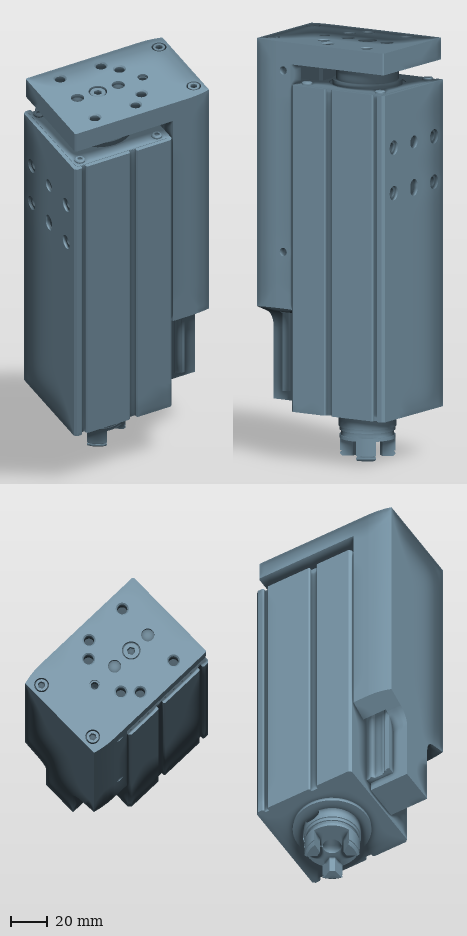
import cadquery as cq
import math


HOUSING_HALF = 30.0
HOUSING_HEIGHT = 180.0
CORNER_CHAMFER = 1.4
CAP_HALF = 27.7
CAP_RISE = 0.2
GROOVE_DEPTH = 2.0
WIDE_GROOVE_Y, WIDE_GROOVE_WIDTH = 6.0, 4.0
NARROW_GROOVE_Y, NARROW_GROOVE_WIDTH = -24.0, 2.3
GROOVE_LIP = 0.7
COLLAR_DIAMETER, COLLAR_HEIGHT = 37.8, 2.0
COLLAR_RECESS_DIAMETER, COLLAR_RECESS_DEPTH = 41.5, 0.7
CAP_SCREW_OFFSET = 23.6
CAP_SCREW_DIAMETER, CAP_SCREW_HEIGHT, CAP_SCREW_CHAMFER = 5.7, 1.4, 0.5
CAP_SOCKET_WIDTH, CAP_SOCKET_DEPTH = 3.2, 1.1
MOTOR_FLANGE_DIAMETER, MOTOR_FLANGE_HEIGHT = 42.6, 2.0

HOLE_HALF_X = 20.0
HOLE_PITCH = 25.0
DOWEL_DIAMETER, DOWEL_DEPTH = 7.0, 2.3
DOWEL_SLOT_LENGTH = 9.2
FRONT_UPPER_Z = HOUSING_HEIGHT - 30.0
FRONT_SEAT_DIAMETER, FRONT_SEAT_DEPTH = 8.0, 1.5
FRONT_THREAD_DIAMETER, FRONT_THREAD_DEPTH = 5.0, 10.0

ROD_DIAMETER, ROD_CHAMFER = 34.0, 0.7
ROD_INSERTION = 11.5
ROD_NECK_DIAMETER, ROD_NECK_RECESS = 8.5, 0.7
ROD_SOCKET_WIDTH, ROD_SOCKET_DEPTH = 4.5, 3.0

PLATE_GAP = 11.0
PLATE_THICKNESS = 12.0
PLATE_BOTTOM = HOUSING_HEIGHT + PLATE_GAP
PLATE_TOP = PLATE_BOTTOM + PLATE_THICKNESS
PLATE_HALF_WIDTH = 28.7
PLATE_FRONT_Y = -29.1
PLATE_FRONT_CHAMFER = 0.7
TAPPED_MOUTH, TAPPED_DIAMETER, TAPPED_DEPTH = 7.0, 5.5, 8.0
INNER_TAPPED_X, INNER_TAPPED_Y = 12.5, 20.0
PLATE_SCREW_Y = 48.2
PLATE_SCREW_SEAT, PLATE_SCREW_HEAD, PLATE_SCREW_DEPTH = 8.0, 6.5, 3.5
PLATE_SCREW_SOCKET = 4.1
CENTRE_SEAT_DIAMETER, CENTRE_SEAT_DEPTH = 10.0, 2.3
STOP_SCREW_Y = 27.5
STOP_SCREW_DIAMETER = 4.0
STOP_SEAT_DIAMETER, STOP_SEAT_DEPTH = 5.7, 1.5
STOP_BORE_DIAMETER, STOP_BORE_DEPTH = 4.1, 6.0

BACK_Y = 54.0
SLIDE_FRONT_Y = 31.0
SIDE_ARC_Y = 40.5
BACK_HALF_WIDTH = 26.8
SLIDE_EDGE_Z = 56.0
SLOPE_DROP, SLOPE_RUN = 1.8, 4.5
TONGUE_HALF_WIDTH = 10.5
TONGUE_FILLET = 10.3
TONGUE_BOTTOM = 1.8
FOOT_HEIGHT = 5.7
CHANNEL_HALF_WIDTH = 18.3
CHANNEL_BACK_Y = 45.2
SIDE_HOLE_DIAMETER, SIDE_HOLE_DEPTH = 4.5, 4.5
SIDE_HOLE_Y, SIDE_HOLE_TOP_Z, SIDE_HOLE_PITCH = 35.8, 187.0, 100.0

RAIL_HEAD_HALF, RAIL_WAIST_HALF = 15.0, 12.5
RAIL_STEP = 0.7
RAIL_BOTTOM = TONGUE_BOTTOM + FOOT_HEIGHT
RAIL_FOOT_Y, RAIL_FLANK_Y, RAIL_WAIST_LOW_Y = 32.3, 33.7, 34.9
RAIL_WAIST_HIGH_Y, RAIL_LEDGE_Y, RAIL_SHOULDER_Y, RAIL_HEAD_Y = 40.0, 41.0, 42.0, 43.3
STOP_HALF_WIDTH, STOP_HEIGHT = 11.5, 7.3
STOP_FRONT_Y, STOP_CHAMFER = 22.2, 1.5

HUB_DIAMETER, HUB_BOTTOM = 31.5, -9.0
RING_DIAMETER = 30.3
HUB_GROOVE_DIAMETER, HUB_GROOVE_TOP, HUB_GROOVE_BOTTOM = 29.0, -11.0, -13.8
RING_BOTTOM = -15.5
JAW_BOTTOM, JAW_CHAMFER = -26.4, 1.1
JAW_GROOVE_DIAMETER, JAW_GROOVE_TOP, JAW_GROOVE_BOTTOM = 29.0, -23.5, -24.3
JAW_COUNT, JAW_HALF_ANGLE = 3, 34
JAW_TIP_DISTANCE, JAW_TIP_HALF_WIDTH = 8.3, 1.5
SLIT_ANGLE, SLIT_WIDTH = -60, 1.1
HUB_BORE_DIAMETER = 10.0
CLAMP_OFFSET, CLAMP_BELOW_FLANGE = 10.3, 1.4
CLAMP_DIAMETER, CLAMP_HEAD_DIAMETER, CLAMP_HEAD_START = 3.2, 7.0, 4.5


def cylinder(diameter, z_low, z_high, x=0, y=0):
    """Upright cylinder between two heights."""
    return cq.Workplane("XY", origin=(x, y, z_low)).circle(diameter / 2).extrude(z_high - z_low)


def box(x_low, x_high, y_low, y_high, z_low, z_high):
    """Box given by its limits."""
    size = (x_high - x_low, y_high - y_low, z_high - z_low)
    return cq.Workplane("XY").box(*size, centered=False).translate((x_low, y_low, z_low))


def drilled_hole(diameter, depth, seat_diameter, seat_depth):
    """Cutter for a counterbored blind hole with a drill point, going down from the origin."""
    radius = diameter / 2
    seat_radius = seat_diameter / 2
    outline = cq.Workplane("XZ").polyline([
        (0, 0), (seat_radius, 0), (seat_radius, -seat_depth),
        (radius, -seat_depth), (radius, -depth), (0, -depth - radius),
    ]).close()
    return outline.revolve(360, (0, 0, 0), (0, 1, 0))


def hex_socket(width, depth, top, x=0, y=0):
    """Cutter for a hexagonal socket with corners at +Y and -Y, given its width across corners."""
    socket = cq.Workplane("XY").polygon(6, width).extrude(depth)
    return socket.rotate((0, 0, 0), (0, 0, 1), 90).translate((x, y, top - depth))



def side_groove(y, width, lip):
    """Cutter for a full-height groove in the -X side, with chamfered lips."""
    half = width / 2
    x = -HOUSING_HALF
    points = [
        (x, y - half - lip), (x + lip, y - half), (x + GROOVE_DEPTH, y - half),
        (x + GROOVE_DEPTH, y + half), (x + lip, y + half), (x, y + half + lip),
    ]
    return cq.Workplane("XY").polyline(points).close().extrude(HOUSING_HEIGHT)


def housing_front_holes():
    """Cutter for the four threaded holes, the dowel hole and the dowel slot in the front face."""
    lower_z = FRONT_UPPER_Z - HOLE_PITCH
    drill = drilled_hole(FRONT_THREAD_DIAMETER, FRONT_THREAD_DEPTH, FRONT_SEAT_DIAMETER, FRONT_SEAT_DEPTH)
    drill = drill.rotate((0, 0, 0), (1, 0, 0), 90)
    front = cq.Workplane("XZ", origin=(0, -HOUSING_HALF, 0))
    cutter = front.center(0, FRONT_UPPER_Z).circle(DOWEL_DIAMETER / 2).extrude(-DOWEL_DEPTH)
    slot = front.center(0, lower_z).slot2D(DOWEL_SLOT_LENGTH, DOWEL_DIAMETER, 90).extrude(-DOWEL_DEPTH)
    cutter = cutter.union(slot)
    for x in (-HOLE_HALF_X, HOLE_HALF_X):
        for z in (FRONT_UPPER_Z, lower_z):
            cutter = cutter.union(drill.translate((x, -HOUSING_HALF, z)))
    return cutter


def make_housing():
    extrusion_height = HOUSING_HEIGHT - CAP_RISE
    housing = cq.Workplane("XY").rect(2 * HOUSING_HALF, 2 * HOUSING_HALF).extrude(extrusion_height)
    housing = housing.edges("|Z").chamfer(CORNER_CHAMFER)
    cap = box(-CAP_HALF, CAP_HALF, -CAP_HALF, CAP_HALF, extrusion_height, HOUSING_HEIGHT)
    housing = housing.union(cap)

    grooves = side_groove(WIDE_GROOVE_Y, WIDE_GROOVE_WIDTH, GROOVE_LIP)
    grooves = grooves.union(side_groove(NARROW_GROOVE_Y, NARROW_GROOVE_WIDTH, GROOVE_LIP))
    housing = housing.cut(grooves).cut(grooves.mirror("YZ"))
    housing = housing.cut(housing_front_holes())

    recess_floor = HOUSING_HEIGHT - COLLAR_RECESS_DEPTH
    housing = housing.cut(cylinder(COLLAR_RECESS_DIAMETER, recess_floor, HOUSING_HEIGHT))
    housing = housing.union(cylinder(COLLAR_DIAMETER, recess_floor, HOUSING_HEIGHT + COLLAR_HEIGHT))
    housing = housing.union(cylinder(MOTOR_FLANGE_DIAMETER, -MOTOR_FLANGE_HEIGHT, 0))

    screw_top = HOUSING_HEIGHT + CAP_SCREW_HEIGHT
    for x in (-CAP_SCREW_OFFSET, CAP_SCREW_OFFSET):
        for y in (-CAP_SCREW_OFFSET, CAP_SCREW_OFFSET):
            head = cylinder(CAP_SCREW_DIAMETER, HOUSING_HEIGHT, screw_top, x, y)
            head = head.faces(">Z").chamfer(CAP_SCREW_CHAMFER)
            housing = housing.union(head.cut(hex_socket(CAP_SOCKET_WIDTH, CAP_SOCKET_DEPTH, screw_top, x, y)))

    rod_bore = cylinder(ROD_DIAMETER, HOUSING_HEIGHT - ROD_INSERTION, HOUSING_HEIGHT + COLLAR_HEIGHT)
    return housing.cut(rod_bore)



def make_rod():
    rod = cylinder(ROD_DIAMETER, HOUSING_HEIGHT - ROD_INSERTION, PLATE_BOTTOM)
    rod = rod.faces(">Z").chamfer(ROD_CHAMFER)
    neck_top = PLATE_TOP - ROD_NECK_RECESS
    rod = rod.union(cylinder(ROD_NECK_DIAMETER, PLATE_BOTTOM, neck_top))
    return rod.cut(hex_socket(ROD_SOCKET_WIDTH, ROD_SOCKET_DEPTH, neck_top))



def outline_with_curved_back(front_y):
    """Plan outline whose side faces bend inwards along tangent arcs towards the back."""
    side_run = BACK_Y - SIDE_ARC_Y
    inset = PLATE_HALF_WIDTH - BACK_HALF_WIDTH
    bend_radius = (side_run**2 + inset**2) / (2 * inset)
    half_angle = math.asin(side_run / bend_radius) / 2
    mid_x = PLATE_HALF_WIDTH - bend_radius * (1 - math.cos(half_angle))
    mid_y = SIDE_ARC_Y + bend_radius * math.sin(half_angle)
    return (
        cq.Workplane("XY")
        .moveTo(-PLATE_HALF_WIDTH, front_y)
        .lineTo(PLATE_HALF_WIDTH, front_y)
        .lineTo(PLATE_HALF_WIDTH, SIDE_ARC_Y)
        .threePointArc((mid_x, mid_y), (BACK_HALF_WIDTH, BACK_Y))
        .lineTo(-BACK_HALF_WIDTH, BACK_Y)
        .threePointArc((-mid_x, mid_y), (-PLATE_HALF_WIDTH, SIDE_ARC_Y))
        .close()
    )


def plate_mounting_holes():
    """Cutter for the tapped holes and the two dowel holes in the top face."""
    row_y = HOLE_PITCH / 2
    mouth_depth = (TAPPED_MOUTH - TAPPED_DIAMETER) / 2
    hole = cylinder(TAPPED_DIAMETER, -TAPPED_DEPTH, 0)
    mouth = cq.Solid.makeCone(TAPPED_DIAMETER / 2, TAPPED_MOUTH / 2, mouth_depth)
    tapped_hole = hole.union(cq.Workplane(mouth.translate(cq.Vector(0, 0, -mouth_depth))))
    cutter = cq.Workplane("XY")
    for y in (-row_y, row_y):
        cutter = cutter.union(cylinder(DOWEL_DIAMETER, PLATE_TOP - DOWEL_DEPTH, PLATE_TOP, 0, y))
    for side in (-1, 1):
        for x, y in ((HOLE_HALF_X, -row_y), (HOLE_HALF_X, row_y), (INNER_TAPPED_X, INNER_TAPPED_Y)):
            cutter = cutter.union(tapped_hole.translate((side * x, y, PLATE_TOP)))
    return cutter


def make_end_plate():
    plate = outline_with_curved_back(PLATE_FRONT_Y).extrude(PLATE_THICKNESS)
    plate = plate.translate((0, 0, PLATE_BOTTOM))
    plate = plate.edges("|Z and <Y").chamfer(PLATE_FRONT_CHAMFER)
    plate = plate.cut(plate_mounting_holes())

    plate = plate.cut(cylinder(CENTRE_SEAT_DIAMETER, PLATE_TOP - CENTRE_SEAT_DEPTH, PLATE_TOP))
    plate = plate.cut(cylinder(ROD_NECK_DIAMETER, PLATE_BOTTOM, PLATE_TOP))

    for x in (-HOLE_HALF_X, HOLE_HALF_X):
        seat_bottom = PLATE_TOP - PLATE_SCREW_DEPTH
        seat = cylinder(PLATE_SCREW_SEAT, seat_bottom, PLATE_TOP, x, PLATE_SCREW_Y)
        head = cylinder(PLATE_SCREW_HEAD, seat_bottom, PLATE_TOP, x, PLATE_SCREW_Y)
        socket = hex_socket(PLATE_SCREW_SOCKET, PLATE_SCREW_DEPTH, PLATE_TOP, x, PLATE_SCREW_Y)
        plate = plate.cut(seat.cut(head)).cut(socket)

    stop_hole = drilled_hole(STOP_BORE_DIAMETER, STOP_BORE_DEPTH, STOP_SEAT_DIAMETER, STOP_SEAT_DEPTH)
    plate = plate.cut(stop_hole.translate((0, STOP_SCREW_Y, PLATE_TOP)))
    stop_top = HOUSING_HEIGHT + STOP_HEIGHT
    return plate.union(cylinder(STOP_SCREW_DIAMETER, stop_top, PLATE_BOTTOM, 0, STOP_SCREW_Y))


def slide_elevation():
    """Full-depth prism of the slide seen along Y: sloping shoulders run into the tongue."""
    slope_x = PLATE_HALF_WIDTH - TONGUE_HALF_WIDTH
    shoulder_z = SLIDE_EDGE_Z - SLOPE_DROP * slope_x / SLOPE_RUN
    points = [
        (-PLATE_HALF_WIDTH, PLATE_BOTTOM), (-PLATE_HALF_WIDTH, SLIDE_EDGE_Z),
        (-TONGUE_HALF_WIDTH, shoulder_z), (-TONGUE_HALF_WIDTH, TONGUE_BOTTOM),
        (TONGUE_HALF_WIDTH, TONGUE_BOTTOM), (TONGUE_HALF_WIDTH, shoulder_z),
        (PLATE_HALF_WIDTH, SLIDE_EDGE_Z), (PLATE_HALF_WIDTH, PLATE_BOTTOM),
    ]
    prism = cq.Workplane("XZ").polyline(points).close().extrude(-BACK_Y)
    shoulder_box = cq.selectors.BoxSelector(
        (-TONGUE_HALF_WIDTH - 2.3, -2.3, shoulder_z - 2.3), (TONGUE_HALF_WIDTH + 2.3, BACK_Y + 2.3, shoulder_z + 2.3)
    )
    return prism.edges(shoulder_box).edges("|Y").fillet(TONGUE_FILLET)


def make_slide():
    slide = outline_with_curved_back(SLIDE_FRONT_Y).extrude(PLATE_BOTTOM).intersect(slide_elevation())
    slide = slide.cut(
        box(-CHANNEL_HALF_WIDTH, CHANNEL_HALF_WIDTH, SLIDE_FRONT_Y, CHANNEL_BACK_Y, RAIL_BOTTOM, PLATE_BOTTOM)
    )
    for z in (SIDE_HOLE_TOP_Z, SIDE_HOLE_TOP_Z - SIDE_HOLE_PITCH):
        side = cq.Workplane("YZ", origin=(-PLATE_HALF_WIDTH, SIDE_HOLE_Y, z))
        slide = slide.cut(side.circle(SIDE_HOLE_DIAMETER / 2).extrude(SIDE_HOLE_DEPTH))
    return slide



def make_rail():
    shoulder_half = RAIL_HEAD_HALF - RAIL_STEP
    foot_half = shoulder_half - RAIL_STEP
    ledge_half = RAIL_WAIST_HALF + RAIL_STEP
    half_profile = [
        (foot_half, HOUSING_HALF), (foot_half, RAIL_FOOT_Y),
        (shoulder_half, RAIL_FOOT_Y), (shoulder_half, RAIL_FLANK_Y),
        (RAIL_WAIST_HALF, RAIL_WAIST_LOW_Y), (RAIL_WAIST_HALF, RAIL_WAIST_HIGH_Y),
        (ledge_half, RAIL_WAIST_HIGH_Y), (ledge_half, RAIL_LEDGE_Y),
        (shoulder_half, RAIL_SHOULDER_Y), (shoulder_half, RAIL_HEAD_Y),
        (RAIL_HEAD_HALF, RAIL_HEAD_Y), (RAIL_HEAD_HALF, CHANNEL_BACK_Y),
    ]
    mirrored = [(-x, y) for x, y in reversed(half_profile)]
    profile = cq.Workplane("XY", origin=(0, 0, RAIL_BOTTOM)).polyline(half_profile + mirrored).close()
    rail = profile.extrude(HOUSING_HEIGHT - RAIL_BOTTOM)
    stop = box(
        -STOP_HALF_WIDTH, STOP_HALF_WIDTH, STOP_FRONT_Y, CHANNEL_BACK_Y,
        HOUSING_HEIGHT, HOUSING_HEIGHT + STOP_HEIGHT,
    )
    return rail.union(stop.edges("|Z and <Y").chamfer(STOP_CHAMFER))



def coupling_jaws():
    """Three jaws that taper towards the axis, the first one pointing to +Y."""
    disc = cylinder(RING_DIAMETER, JAW_BOTTOM, RING_BOTTOM).faces("<Z").chamfer(JAW_CHAMFER)
    groove = cylinder(RING_DIAMETER, JAW_GROOVE_BOTTOM, JAW_GROOVE_TOP)
    groove = groove.cut(cylinder(JAW_GROOVE_DIAMETER, JAW_GROOVE_BOTTOM, JAW_GROOVE_TOP))
    reach = RING_DIAMETER
    widening = (reach - JAW_TIP_DISTANCE) * math.tan(math.radians(JAW_HALF_ANGLE))
    outer_half_width = JAW_TIP_HALF_WIDTH + widening
    wedge = cq.Workplane("XY", origin=(0, 0, JAW_BOTTOM))
    wedge = wedge.polyline([
        (-JAW_TIP_HALF_WIDTH, JAW_TIP_DISTANCE), (JAW_TIP_HALF_WIDTH, JAW_TIP_DISTANCE),
        (outer_half_width, reach), (-outer_half_width, reach),
    ]).close().extrude(RING_BOTTOM - JAW_BOTTOM)
    jaw = disc.cut(groove).intersect(wedge)
    jaws = jaw
    for number in range(1, JAW_COUNT):
        jaws = jaws.union(jaw.rotate((0, 0, 0), (0, 0, 1), number * 360 / JAW_COUNT))
    return jaws


def clamp_cutter(hub_top):
    """Radial clamping slit and the screw hole that crosses it at a right angle."""
    reach = HUB_DIAMETER
    slit = box(0, reach, -SLIT_WIDTH / 2, SLIT_WIDTH / 2, RING_BOTTOM, hub_top)
    screw_axis = cq.Workplane("XZ", origin=(CLAMP_OFFSET, 0, hub_top - CLAMP_BELOW_FLANGE))
    hole = screw_axis.circle(CLAMP_DIAMETER / 2).extrude(reach, both=True)
    head = screw_axis.workplane(offset=-CLAMP_HEAD_START).circle(CLAMP_HEAD_DIAMETER / 2).extrude(-reach)
    return slit.union(hole).union(head).rotate((0, 0, 0), (0, 0, 1), SLIT_ANGLE)


def make_coupling():
    hub_top = -MOTOR_FLANGE_HEIGHT
    coupling = cylinder(HUB_DIAMETER, HUB_BOTTOM, hub_top)
    coupling = coupling.union(cylinder(RING_DIAMETER, HUB_GROOVE_TOP, HUB_BOTTOM))
    coupling = coupling.union(cylinder(HUB_GROOVE_DIAMETER, HUB_GROOVE_BOTTOM, HUB_GROOVE_TOP))
    coupling = coupling.union(cylinder(RING_DIAMETER, RING_BOTTOM, HUB_GROOVE_BOTTOM))
    coupling = coupling.cut(cylinder(HUB_BORE_DIAMETER, RING_BOTTOM, hub_top))
    return coupling.cut(clamp_cutter(hub_top)).union(coupling_jaws())


housing = make_housing()
rod = make_rod()
end_plate = make_end_plate()
slide = make_slide()
rail = make_rail()
coupling = make_coupling()

result = cq.Compound.makeCompound(
    [housing.val(), rod.val(), end_plate.val(), slide.val(), rail.val(), coupling.val()]
)